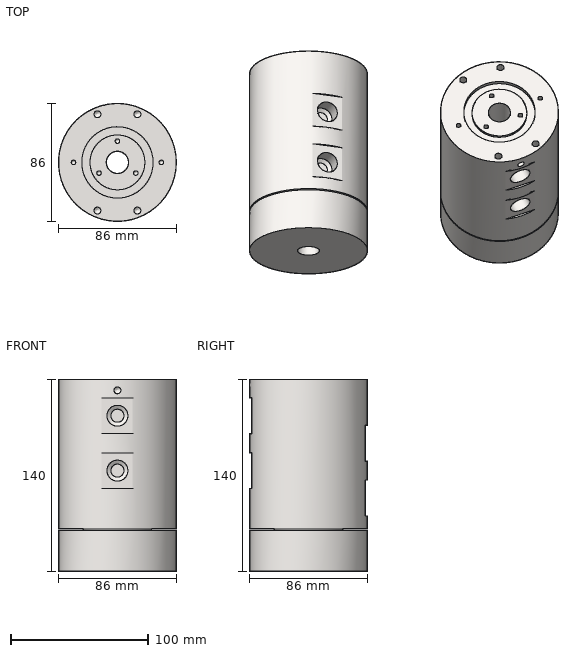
import cadquery as cq
import math

body_diameter = 86.0
body_radius = body_diameter / 2
total_height = 140.0

base_height = 30.0
gap_height = 1.0
neck_diameter = 50.0

recess_diameter = 52.0
recess_depth = 3.0
rotor_diameter = 40.0
rotor_drop = 1.0
rotor_top = total_height - rotor_drop
bore_diameter = 16.0

drill_point_angle = 118.0
mounting_hole_diameter = 5.0
mounting_hole_depth = 15.0
mounting_circle_radius = 38.0
mounting_hole_angle = 67.5
pin_hole_diameter = 3.3
pin_hole_depth = 10.0
pin_circle_radius = 32.0
rotor_hole_diameter = 3.3
rotor_hole_depth = 10.0
rotor_hole_circle_radius = 15.5
rotor_hole_count = 3
vent_hole_diameter = 5.0
vent_hole_depth = 10.0
vent_hole_drop = 8.0

flat_height = 26.0
flat_depth = 1.5
flat_offset = body_radius - flat_depth
port_diameter = 15.25
port_depth = 12.0
port_seat_diameter = 9.5
port_seat_taper = (port_diameter - port_seat_diameter) / 2 / math.tan(math.radians(drill_point_angle / 2))
port_pitch = 40.0
first_front_port_drop = 26.5
first_back_port_drop = first_front_port_drop + port_pitch / 2
ports_per_side = 2


def revolved_body():
    """Base, neck and housing as one stepped cylinder."""
    housing_bottom = base_height + gap_height
    base = cq.Workplane("XY").circle(body_radius).extrude(base_height)
    neck = cq.Workplane("XY").circle(neck_diameter / 2).extrude(housing_bottom)
    housing = (
        cq.Workplane("XY")
        .workplane(offset=housing_bottom)
        .circle(body_radius)
        .extrude(total_height - housing_bottom)
    )
    return base.union(neck).union(housing)


def top_recess():
    """Ring-shaped recess plus the thin disc that lowers the rotor face."""
    ring = (
        cq.Workplane("XY")
        .workplane(offset=total_height - recess_depth)
        .circle(recess_diameter / 2)
        .circle(rotor_diameter / 2)
        .extrude(recess_depth)
    )
    disc = cq.Workplane("XY").workplane(offset=rotor_top).circle(recess_diameter / 2).extrude(rotor_drop)
    return ring.union(disc)


def drilled_hole(diameter, depth, mouth, direction):
    """Blind cylinder with a conical drill point."""
    start = cq.Vector(*mouth)
    heading = cq.Vector(*direction)
    radius = diameter / 2
    point_length = radius / math.tan(math.radians(drill_point_angle / 2))
    barrel = cq.Solid.makeCylinder(radius, depth, start, heading)
    point = cq.Solid.makeCone(radius, 0, point_length, start + heading * depth, heading)
    return cq.Workplane(obj=barrel.fuse(point))


def down_hole(diameter, depth, circle_radius, angle, top):
    """Drilled hole going down from the height `top`, placed in polar coordinates."""
    x = circle_radius * math.cos(math.radians(angle))
    y = circle_radius * math.sin(math.radians(angle))
    return drilled_hole(diameter, depth, (x, y, top), (0, 0, -1))


def port_flat(side, z):
    """Slab that cuts a flat; `side` is -1 for the -Y side and +1 for the +Y side."""
    return (
        cq.Workplane("XY")
        .box(body_diameter, flat_depth, flat_height)
        .translate((0, side * (flat_offset + flat_depth / 2), z))
    )


def port(side, z):
    """Port bored in from a flat, tapering at its end to a small flat seat."""
    inward = cq.Vector(0, -side, 0)
    mouth = cq.Vector(0, side * flat_offset, z)
    barrel = cq.Solid.makeCylinder(port_diameter / 2, port_depth, mouth, inward)
    taper = cq.Solid.makeCone(
        port_diameter / 2,
        port_seat_diameter / 2,
        port_seat_taper,
        mouth + inward * port_depth,
        inward,
    )
    return cq.Workplane(obj=barrel.fuse(taper))


result = revolved_body().cut(top_recess())
result = result.cut(cq.Workplane("XY").circle(bore_diameter / 2).extrude(total_height))

mounting_hole_angles = (
    mounting_hole_angle,
    180 - mounting_hole_angle,
    180 + mounting_hole_angle,
    -mounting_hole_angle,
)
for angle in mounting_hole_angles:
    result = result.cut(
        down_hole(mounting_hole_diameter, mounting_hole_depth, mounting_circle_radius, angle, total_height)
    )

for angle in (0, 180):
    result = result.cut(down_hole(pin_hole_diameter, pin_hole_depth, pin_circle_radius, angle, total_height))

for index in range(rotor_hole_count):
    angle = 90 + index * 360 / rotor_hole_count
    result = result.cut(
        down_hole(rotor_hole_diameter, rotor_hole_depth, rotor_hole_circle_radius, angle, rotor_top)
    )

result = result.cut(
    drilled_hole(
        vent_hole_diameter,
        vent_hole_depth,
        (0, -body_radius, total_height - vent_hole_drop),
        (0, 1, 0),
    )
)

for side, first_drop in ((-1, first_front_port_drop), (1, first_back_port_drop)):
    for index in range(ports_per_side):
        z = total_height - first_drop - index * port_pitch
        result = result.cut(port_flat(side, z)).cut(port(side, z))